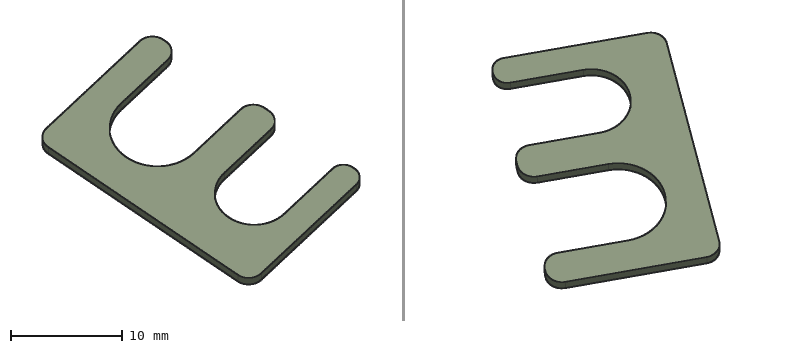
import cadquery as cq

length = 25.4
depth = 16.0
thickness = 1.0
corner_radius = 1.5
narrow_prong_radius = 1.27

slot_end_y = depth / 2
wide_slot_x = 7.62
wide_slot_radius = 4.32
narrow_slot_x = 19.05
narrow_slot_radius = 3.55


def open_slot(center_x, radius):
    """Cutter for a slot with a round bottom, open at the back edge."""
    return (
        cq.Workplane("XY")
        .moveTo(center_x - radius, depth)
        .lineTo(center_x - radius, slot_end_y)
        .threePointArc((center_x, slot_end_y - radius), (center_x + radius, slot_end_y))
        .lineTo(center_x + radius, depth)
        .close()
        .extrude(thickness)
    )


def round_corners(body, corners, radius):
    """Round the vertical edges standing at the given (x, y) corners."""
    for x, y in corners:
        edge = cq.selectors.NearestToPointSelector((x, y, thickness / 2))
        body = body.edges("|Z").edges(edge).fillet(radius)
    return body


plate = cq.Workplane("XY").box(length, depth, thickness, centered=False)
plate = plate.cut(open_slot(wide_slot_x, wide_slot_radius))
plate = plate.cut(open_slot(narrow_slot_x, narrow_slot_radius))

wide_corners = [
    (0, 0),
    (length, 0),
    (0, depth),
    (wide_slot_x - wide_slot_radius, depth),
    (wide_slot_x + wide_slot_radius, depth),
    (narrow_slot_x - narrow_slot_radius, depth),
]
narrow_corners = [
    (narrow_slot_x + narrow_slot_radius, depth),
    (length, depth),
]
plate = round_corners(plate, wide_corners, corner_radius)
result = round_corners(plate, narrow_corners, narrow_prong_radius)